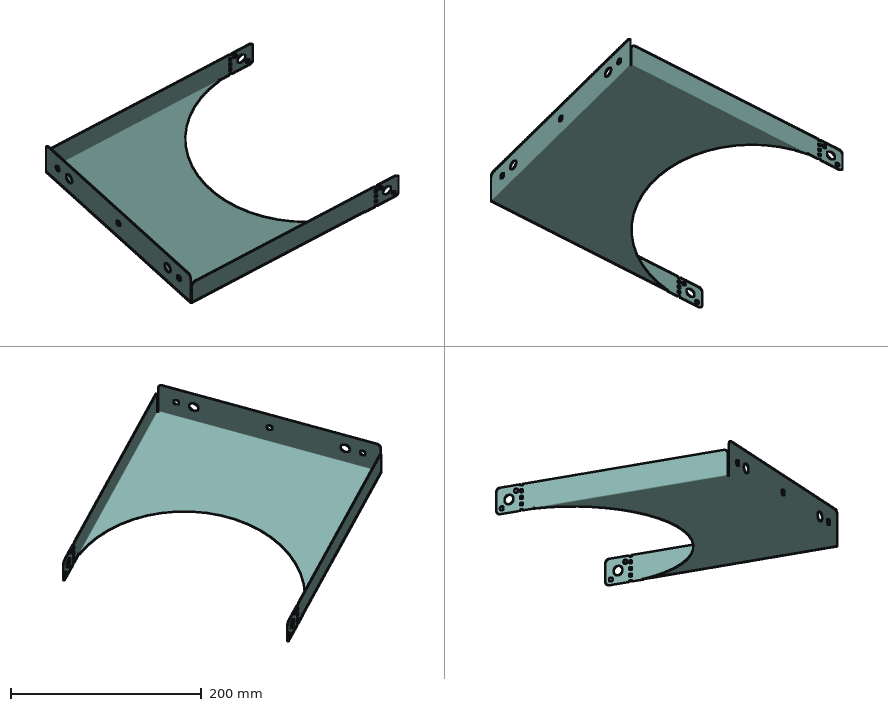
import cadquery as cq
import math

width = 252.0
length = 273.5
front_height = 40.0
side_height = 29.5
sheet = 0.5
bend_radius = 1.0
corner_radius = 5.0

cutout_radius = 126.3
cutout_front = 121.0

front_hole_z = 20.8
fixing_diameter = 6.3
fixing_x = 104.7
large_diameter = 10.5
large_x = 85.0

tab_centre_y = 258.4
tab_centre_z = side_height / 2
tab_screw_diameter = 4.5
tab_screw_offset = 8.5
perforation_diameter = 3.3
perforation_y = 243.5
perforation_pitch = side_height / 4

flat_half_width = width / 2 - bend_radius
cutout_centre_y = cutout_front + cutout_radius
fold_end_y = cutout_centre_y - math.sqrt(cutout_radius**2 - flat_half_width**2)


def box(x0, x1, y0, y1, z0, z1):
    """Box between opposite corners."""
    return cq.Workplane("XY").box(x1 - x0, y1 - y0, z1 - z0, centered=False).translate((x0, y0, z0))


def x_hole(y, z, diameter):
    """Cylinder through both side flanges."""
    return cq.Workplane("YZ", origin=(-width, y, z)).circle(diameter / 2).extrude(2 * width)


def y_hole(x, diameter):
    """Cylinder through the front flange."""
    return cq.Workplane("XZ", origin=(x, 2 * sheet, front_hole_z)).circle(diameter / 2).extrude(3 * sheet)


def fold_solid(inset):
    """Block with rounded lower edges; an inset of one sheet gives the inside of the folds."""
    half_width = width / 2 - inset
    block = box(-half_width, half_width, inset, fold_end_y, inset, front_height)
    return block.edges("<Z and (<X or >X or <Y)").fillet(bend_radius - inset)


def make_folded_floor():
    """Floor with its three folds, up to the height where the flanges become straight."""
    below_flanges = box(-width / 2, width / 2, 0, fold_end_y, 0, bend_radius)
    floor = fold_solid(0).cut(fold_solid(sheet)).intersect(below_flanges)
    cutout = cq.Workplane("XY").center(0, cutout_centre_y).circle(cutout_radius).extrude(bend_radius)
    floor = floor.cut(cutout.intersect(box(-flat_half_width, flat_half_width, 0, length, 0, bend_radius)))

    for corner_x in (-width / 2, flat_half_width):
        floor = floor.cut(box(corner_x, corner_x + bend_radius, 0, bend_radius, 0, bend_radius))
    return floor


def make_front_flange():
    flange = box(-flat_half_width, flat_half_width, 0, sheet, bend_radius, front_height)
    flange = flange.edges("|Y and >Z").fillet(corner_radius)
    for side in (-1, 1):
        flange = flange.cut(y_hole(side * fixing_x, fixing_diameter))
        flange = flange.cut(y_hole(side * large_x, large_diameter))
    return flange.cut(y_hole(0, fixing_diameter))


def make_side_flanges():
    left = box(-width / 2, sheet - width / 2, bend_radius, length, 0, side_height)
    left = left.edges("|X and (>Z or >Y)").fillet(corner_radius)
    left = left.cut(box(-width / 2, sheet - width / 2, 0, fold_end_y, 0, bend_radius))
    flanges = left.union(left.mirror("YZ"))

    flanges = flanges.cut(x_hole(tab_centre_y, tab_centre_z, large_diameter))
    for direction in (-1, 1):
        offset = direction * tab_screw_offset
        flanges = flanges.cut(x_hole(tab_centre_y - offset, tab_centre_z + offset, tab_screw_diameter))

    for step in range(5):
        flanges = flanges.cut(x_hole(perforation_y, step * perforation_pitch, perforation_diameter))
    return flanges


result = make_folded_floor().union(make_front_flange()).union(make_side_flanges())